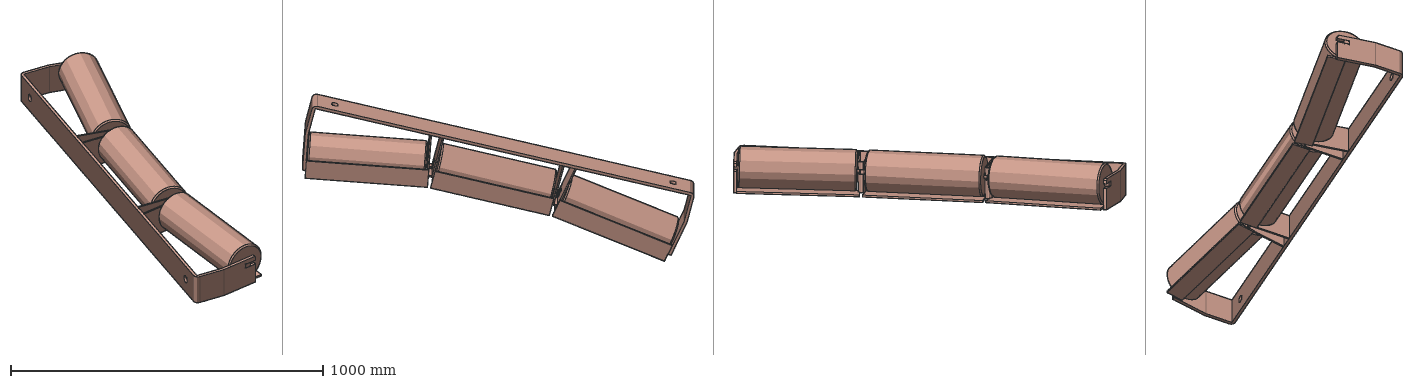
import cadquery as cq
import math

frame_width = 1260.0
frame_height = 102.0
frame_wall = 10.0
corner_radius = 15.0
wing_bend_y = 102.0
wing_end_y = 226.0
wing_end_chamfer = 5.0
toe_angle = 10.0
mount_slot_x = 558.0
mount_slot_width = 20.0
mount_slot_length = 25.0

roller_diameter = 133.0
roller_length = 380.0
chamfer_length = 5.0
chamfer_depth = 4.5
axle_diameter = 20.0
axle_slot_open_end = 60.0
axle_slot_overrun = 10.0
axle_flat_height = 15.0
middle_axis_y = 125.5
middle_axis_z = 68.5
side_center_x = 412.0
side_center_y = 160.83
side_center_z = 73.5
lift_angle = 1.4

sheet = 5.0
bracket_end_y = 150.0
straight_leg_x = 196.0
toed_leg_x = 212.0
bracket_bend_radius = 7.0

bar_width = 60.0
bar_thickness = 6.6
bar_clearance = 0.1
bar_near_edge = 0.0

bar_drop = roller_diameter / 2 + bar_clearance
toe_slope = math.tan(math.radians(toe_angle))
toe_stretch = 1 / math.cos(math.radians(toe_angle))
half_width = frame_width / 2
SIDES = (-1, 1)
STATIONS = (-1, 0, 1)


def wing_x(y):
    """X of the outer face of the right wing at depth y, past the wing bend."""
    return half_width - toe_slope * (y - wing_bend_y)


def toed_leg_face_x(y):
    """X of the face of the right toed leg that looks at the straight leg."""
    return toed_leg_x + toe_slope * (bracket_end_y - y)


def side_distance(x, y):
    """Distance from a side roller's centre, along its plan axis, to a point in the XY plane."""
    toe = math.radians(toe_angle)
    return (x - side_center_x) * math.cos(toe) + (y - side_center_y) * math.sin(toe)


wing_thickness_x = frame_wall * toe_stretch
leg_thickness_x = sheet * toe_stretch
wing_outer_reach = side_distance(wing_x(wing_end_y), wing_end_y)
wing_inner_reach = wing_outer_reach - frame_wall
leg_gap_reach = -side_distance(toed_leg_x, bracket_end_y)


def toe_and_move(shape, station):
    """Turns a shape about Z to a roller's plan direction and moves it to that roller's centre."""
    if station == 0:
        return shape.translate((0, middle_axis_y, middle_axis_z))
    center = (station * side_center_x, side_center_y, side_center_z)
    return shape.rotate((0, 0, 0), (0, 0, 1), station * toe_angle).translate(center)


def place(shape, station):
    """Tilts a shape along a roller's axis and moves it to that roller's centre."""
    lifted = shape.rotate((0, 0, 0), (0, 1, 0), -station * lift_angle)
    return toe_and_move(lifted, station)


def span_box(station, inner, outer, y_min, y_max, z_min, z_max):
    """Box along a roller's axis, given by its inward and outward reach from the centre."""
    x_min, x_max = (-outer, inner) if station < 0 else (-inner, outer)
    box = cq.Workplane("XY").box(x_max - x_min, y_max - y_min, z_max - z_min, centered=False)
    return box.translate((x_min, y_min, z_min))


def axle_reaches(station):
    """Inward and outward length of an axle, ending flush with the plates that carry it."""
    if station == 0:
        return straight_leg_x + sheet, straight_leg_x + sheet
    return leg_gap_reach, wing_outer_reach


def make_axle_slot(station):
    """Slot for the flats of an axle, open toward +Y."""
    inner, outer = axle_reaches(station)
    half_height = axle_flat_height / 2
    slot = span_box(station, inner + axle_slot_overrun, outer + axle_slot_overrun,
                    -axle_diameter / 2, axle_slot_open_end, -half_height, half_height)
    return place(slot, station)


def make_frame():
    wing_end_x = wing_x(wing_end_y)
    inner_half = half_width - frame_wall
    right_half = [
        (half_width, 0),
        (half_width, wing_bend_y),
        (wing_end_x, wing_end_y),
        (wing_end_x - wing_thickness_x, wing_end_y),
        (inner_half, wing_bend_y),
        (inner_half, frame_wall),
    ]
    left_half = [(-x, y) for x, y in reversed(right_half)]
    frame = cq.Workplane("XY").polyline(right_half + left_half).close().extrude(frame_height)
    frame = frame.faces("<Y").edges("|Z").fillet(corner_radius)
    frame = frame.faces(">Y").edges(">Z").chamfer(wing_end_chamfer)
    mount_slots = (
        cq.Workplane("XZ")
        .pushPoints([(side * mount_slot_x, frame_height / 2) for side in SIDES])
        .slot2D(mount_slot_length, mount_slot_width, 90)
        .extrude(-frame_wall)
    )
    frame = frame.cut(mount_slots)
    for side in SIDES:
        frame = frame.cut(make_axle_slot(side))
    return frame


def make_bracket(side):
    straight_gap_x = straight_leg_x + sheet
    bridge_y = bracket_end_y - sheet
    outline = [
        (straight_leg_x, frame_wall),
        (straight_leg_x, bracket_end_y),
        (toed_leg_x + leg_thickness_x, bracket_end_y),
        (toed_leg_face_x(frame_wall) + leg_thickness_x, frame_wall),
        (toed_leg_face_x(frame_wall), frame_wall),
        (toed_leg_face_x(bridge_y), bridge_y),
        (straight_gap_x, bridge_y),
        (straight_gap_x, frame_wall),
    ]
    bracket = cq.Workplane("XY").polyline(outline).close().extrude(frame_height)
    bracket = bracket.faces(">Y").edges("|Z").fillet(bracket_bend_radius)
    if side < 0:
        bracket = bracket.mirror("YZ")
    for station in (0, side):
        bracket = bracket.cut(make_axle_slot(station)).cut(make_bar(station))
    return bracket


def make_roller(station):
    radius = roller_diameter / 2
    end_radius = radius - chamfer_depth
    half_length = roller_length / 2
    profile = [
        (-half_length, 0),
        (-half_length, end_radius),
        (chamfer_length - half_length, radius),
        (half_length - chamfer_length, radius),
        (half_length, end_radius),
        (half_length, 0),
    ]
    shell = cq.Workplane("XY").polyline(profile).close().revolve(360, (0, 0, 0), (1, 0, 0))
    inner, outer = axle_reaches(station)
    half_height = axle_flat_height / 2
    axle = cq.Workplane("YZ").circle(axle_diameter / 2).extrude(half_width, both=True)
    flats = span_box(station, inner, outer, -axle_diameter, axle_diameter, -half_height, half_height)
    return place(shell.union(axle.intersect(flats)), station)


def make_bar(station):
    """Bar parallel to the roller, trimmed flush with faces of the upright plates at its ends."""
    if station == 0:
        inner = outer = straight_leg_x
    else:
        inner, outer = leg_gap_reach, wing_inner_reach
    far_edge = bar_near_edge + bar_width
    bar = span_box(station, inner + sheet, outer + sheet, bar_near_edge, far_edge,
                   -bar_drop - bar_thickness, -bar_drop)
    bay = span_box(station, inner, outer, bar_near_edge, far_edge, -frame_height, 0)
    return place(bar, station).intersect(toe_and_move(bay, station))


frame = make_frame()
brackets = [make_bracket(side) for side in SIDES]
rollers = [make_roller(station) for station in STATIONS]
bars = [make_bar(station) for station in STATIONS]

bodies = [frame] + brackets + rollers + bars
result = cq.Compound.makeCompound([body.val() for body in bodies])